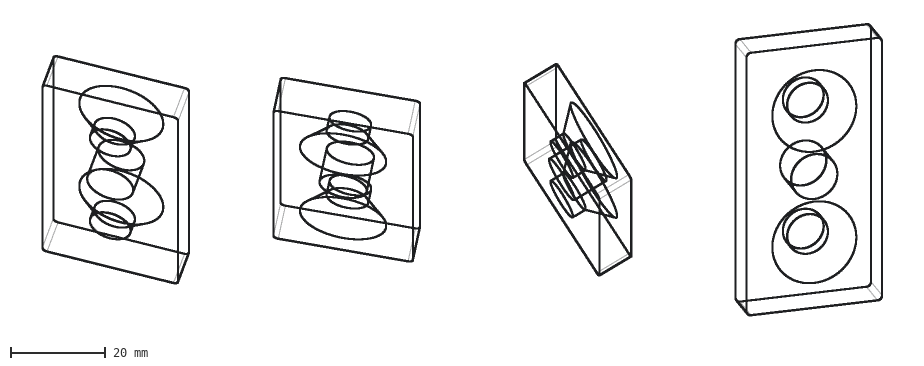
import cadquery as cq

height = 60.0
width = height / 2
thickness = 8.0
corner_radius = 1.0

screw_hole_diameter = 9.0
screw_hole_offset = height / 4
countersink_diameter = 18.6
countersink_angle = 90.0
bore_diameter = 10.2

plate = cq.Workplane("XY").box(width, thickness, height).edges("|Y").fillet(corner_radius)

screw_positions = [(0, -screw_hole_offset), (0, screw_hole_offset)]
plate = (
    plate.faces(">Y")
    .workplane(centerOption="CenterOfBoundBox")
    .pushPoints(screw_positions)
    .cskHole(screw_hole_diameter, countersink_diameter, countersink_angle)
)

result = plate.faces("<Y").workplane(centerOption="CenterOfBoundBox").hole(bore_diameter)